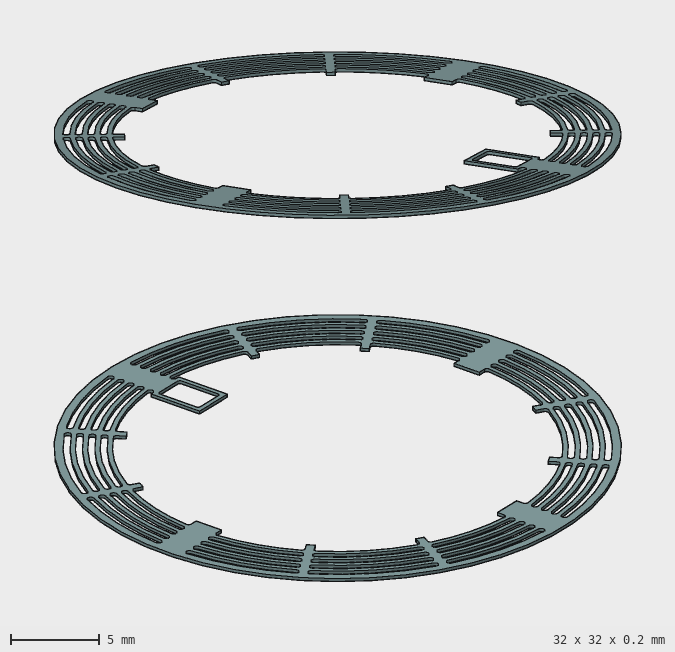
import math

import cadquery as cq

outer_radius = 16.0
thickness = 0.2
tip_radius = 12.0

slot_count = 5
slot_end_radius = 0.2
bar_width = 0.3
outer_slot_radius = 15.3
slot_pitch = 2 * slot_end_radius + bar_width
open_slot_radius = outer_slot_radius - (slot_count - 1) * slot_pitch

web_step = 30
webs_per_pad = 3
web_count = 360 // web_step
pad_width = 1.8
spoke_width = 0.5

frame_inner_x = 8.8
frame_height = 2.6
frame_wall = 0.3
window_length = 2.88
window_height = frame_height - 2 * frame_wall
window_corner_radius = 0.15


def web_width(index):
    return pad_width if index % webs_per_pad == 0 else spoke_width


def box_between(x_start, x_end, width):
    """Plate along X, centred on Y, standing on the XY plane."""
    length = x_end - x_start
    return cq.Workplane("XY").box(length, width, thickness, centered=(False, True, False)).translate(
        (x_start, 0, 0)
    )


def polar(radius, angle):
    return (radius * math.cos(angle), radius * math.sin(angle))


def arc_slot(mid_radius, index):
    """Round-ended arc slot between web number index and the next one."""

    def end_offset(web):
        return math.asin((web_width(web) / 2 + slot_end_radius) / mid_radius)

    start = math.radians(index * web_step) + end_offset(index)
    end = math.radians((index + 1) * web_step) - end_offset(index + 1)
    middle = (start + end) / 2
    end_angle = slot_end_radius / mid_radius
    inner = mid_radius - slot_end_radius
    outer = mid_radius + slot_end_radius
    return (
        cq.Workplane("XY")
        .moveTo(*polar(inner, start))
        .threePointArc(polar(inner, middle), polar(inner, end))
        .threePointArc(polar(mid_radius, end + end_angle), polar(outer, end))
        .threePointArc(polar(outer, middle), polar(outer, start))
        .threePointArc(polar(mid_radius, start - end_angle), polar(inner, start))
        .close()
        .extrude(thickness)
    )


ring = cq.Workplane("XY").circle(outer_radius).circle(open_slot_radius).extrude(thickness)

web_end = open_slot_radius + slot_pitch
for i in range(web_count):
    web = box_between(tip_radius, web_end, web_width(i))
    ring = ring.union(web.rotate((0, 0, 0), (0, 0, 1), i * web_step))

ring = ring.union(box_between(frame_inner_x, open_slot_radius, frame_height))
window_start = frame_inner_x + frame_wall
window = box_between(window_start, window_start + window_length, window_height)
ring = ring.cut(window.edges("|Z").fillet(window_corner_radius))

for row in range(slot_count):
    for i in range(web_count):
        ring = ring.cut(arc_slot(open_slot_radius + row * slot_pitch, i))

result = ring